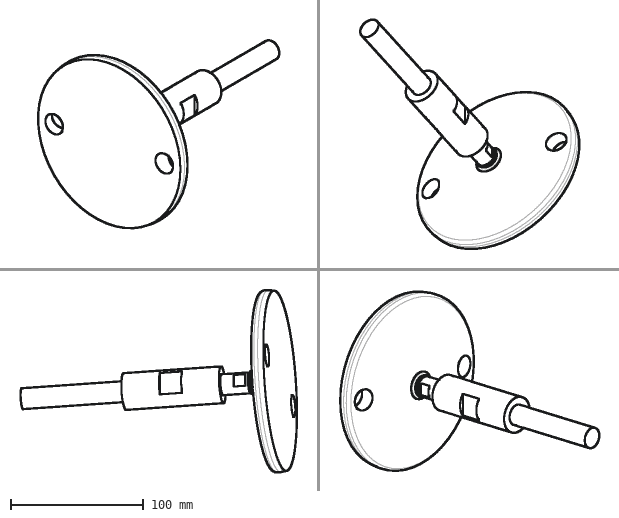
import cadquery as cq
import math


plate_radius = 137.98 / 2
underside_radius = 68.3
draft_height = 4.2
side_top = 7.05
rim_rounding = 2.7
cone_angle = math.radians(9.5)

collar_foot_radius = 10.8
collar_shoulder_radius = 10.0
collar_shoulder_height = 19.7
lip_radius = 8.7
groove_radius = 8.2
groove_height = 20.8
lip_height = 22.1
collar_top_radius = 5.6

fixing_hole_diameter = 16.5
fixing_hole_offset = 52.8
hole_cutter_length = 60

overall_length = 198
spindle_diameter = 16
spindle_bottom = 23.3
spindle_flats_width = 13
spindle_flats_length = 9
spindle_flats_bottom = 25.4

sleeve_diameter = 28
sleeve_length = 75
sleeve_bottom = 44.4
sleeve_flats_width = 22
sleeve_flats_length = 17


def cylinder(diameter, bottom, length):
    """Cylinder on the Y axis, from Y = bottom upwards."""
    base_plane = cq.Workplane("XZ", origin=(0, bottom, 0))
    return base_plane.circle(diameter / 2).extrude(-length)


def cut_wrench_flats(body, diameter, width, bottom, length):
    """Cut two flats, facing -X and +X, into a round body."""
    depth = (diameter - width) / 2
    for side in (-1, 1):
        cutter = cq.Workplane("XY").box(depth, length, diameter)
        centre = (side * (width + depth) / 2, bottom + length / 2, 0)
        body = body.cut(cutter.translate(centre))
    return body


def rim_point(angle):
    """Point on the rounded rim, at an angle above the horizontal."""
    radius = plate_radius - rim_rounding * (1 - math.cos(angle))
    height = side_top + rim_rounding * math.sin(angle)
    return radius, height


def make_foot_plate():
    rounding_sweep = math.pi / 2 - cone_angle
    cone_edge = rim_point(rounding_sweep)
    collar_foot_height = cone_edge[1] + (cone_edge[0] - collar_foot_radius) * math.tan(cone_angle)
    plate = (
        cq.Workplane("XY")
        .moveTo(0, 0)
        .lineTo(underside_radius, 0)
        .lineTo(plate_radius, draft_height)
        .lineTo(plate_radius, side_top)
        .threePointArc(rim_point(rounding_sweep / 2), cone_edge)
        .lineTo(collar_foot_radius, collar_foot_height)
        .lineTo(collar_shoulder_radius, collar_shoulder_height)
        .lineTo(groove_radius, groove_height)
        .lineTo(lip_radius, lip_height)
        .lineTo(collar_top_radius, spindle_bottom)
        .lineTo(0, spindle_bottom)
        .close()
        .revolve(360, (0, 0, 0), (0, 1, 0))
    )
    for side in (-1, 1):
        axis = cq.Vector(side * math.sin(cone_angle), math.cos(cone_angle), 0)
        start = cq.Vector(side * fixing_hole_offset, 0, 0) - axis * (hole_cutter_length / 2)
        cutter = cq.Solid.makeCylinder(fixing_hole_diameter / 2, hole_cutter_length, start, axis)
        plate = plate.cut(cq.Workplane(cutter))
    return plate


def make_spindle():
    spindle = cylinder(spindle_diameter, spindle_bottom, overall_length - spindle_bottom)
    return cut_wrench_flats(
        spindle, spindle_diameter, spindle_flats_width, spindle_flats_bottom, spindle_flats_length
    )


def make_sleeve():
    sleeve = cylinder(sleeve_diameter, sleeve_bottom, sleeve_length)
    sleeve = sleeve.cut(cylinder(spindle_diameter, sleeve_bottom, sleeve_length))
    flats_bottom = sleeve_bottom + (sleeve_length - sleeve_flats_length) / 2
    return cut_wrench_flats(
        sleeve, sleeve_diameter, sleeve_flats_width, flats_bottom, sleeve_flats_length
    )


foot_plate = make_foot_plate()
spindle = make_spindle()
sleeve = make_sleeve()

result = cq.Compound.makeCompound([foot_plate.val(), spindle.val(), sleeve.val()])